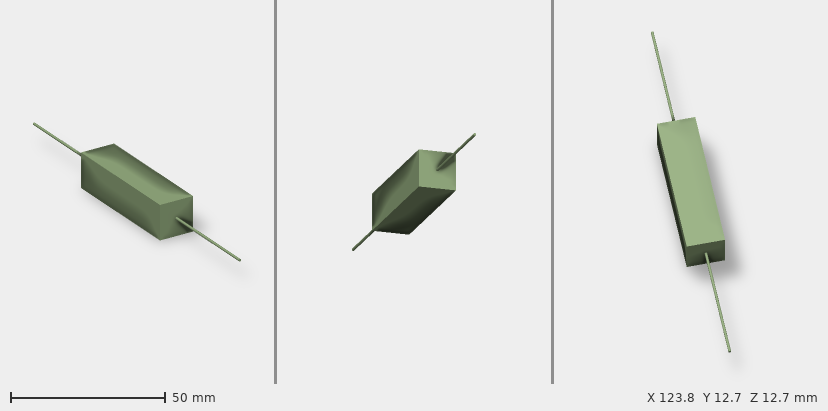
import cadquery as cq

body_length = 47.62
body_side = 12.7
lead_length = 38.1
lead_diameter = 0.914


def make_body():
    """Square block centred on the origin, long along X."""
    return cq.Workplane("XY").box(body_length, body_side, body_side)


def make_lead(direction):
    """Round wire on the X axis, running outward (+1 or -1) from a body end."""
    body_end = cq.Workplane("ZY", origin=(direction * body_length / 2, 0, 0))
    return body_end.circle(lead_diameter / 2).extrude(-direction * lead_length)


result = make_body()
for direction in (-1, 1):
    result = result.union(make_lead(direction))